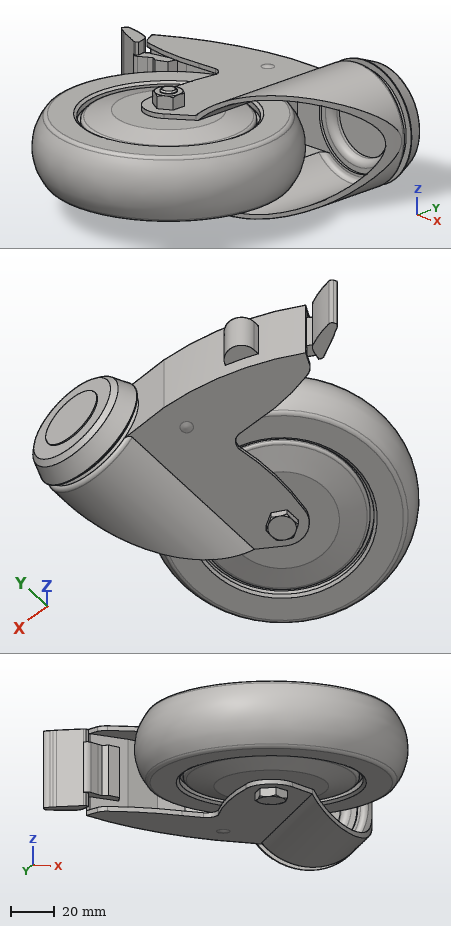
import cadquery as cq
import math


wheel_radius = 62.4
tread_edge_radius = 57.4
tread_edge_z = 14.5
tire_edge_mid = (56.6, 15.5)
tire_face_z = 16.0
tire_face_outer_radius = 55.3
tire_face_inner_radius = 43.4
tire_lip_radius = 41.9
tire_lip_z = 14.8
groove_inner_radius = 80.5 / 2
hub_rim_radius = 77.5 / 2
groove_floor_z = 12.1
hub_rim_z = 14.7
hub_edge_fillet = groove_inner_radius - hub_rim_radius
hub_face_radius = 26.1
hub_face_z = 17.7

swivel_x = 41.0
swivel_radius = 30.0
plate_outer_z = 20.3
sheet_thickness = 2.3
plate_inner_z = plate_outer_z - sheet_thickness
fork_top_y = 82.4
tube_rim_fillet = 2.1
inner_rim_fillet = 2.9
fork_floor_y = -16.1
arm_reach = 80.6
tube_back_y = 79.3
axle_boss_radius = 12.4

neck_radius = 53.7 / 2
neck_flare_radius = 27.7
neck_flare_height = 1.3
skirt_bottom_y = 85.5
skirt_lip_y = 86.0
skirt_top_y = 94.6
skirt_top_radius = 26.5
head_face_radius = 47.5 / 2
head_face_y = 96.9
head_boss_radius = 31.6 / 2
head_boss_y = 97.5
cup_radius = 23.5
cup_depth = 1.3
bore_mouth_radius = 20.8
bore_radius = 17.1
bore_depth = 5.3

pedal_half_width = 18.2
lever_half_width = 12.0
cam_x = -42.4
cam_y = 73.5
cam_radius = 7.9
cam_base_y = 68.5
pin_x = -3.0
pin_y = 67.5
pin_radius = 3.0
pin_point_height = 0.6
pin_cover = 6.5

axle_radius = 4.0
axle_end_z = 28.0
axle_chamfer = 0.8
hex_across_flats = 13.0
nut_height = 6.6
bolt_head_height = 4.2
hex_corner_drop = 0.6

arm_tip_top = (-70.1, 60.5)
arm_crown = (-39.7, 74.8)
arm_top_end = (-2.5, fork_top_y)


def extrude_both(sketch, half_width):
    """Extrude an XY outline equally to both sides of the wheel plane."""
    return sketch.extrude(half_width, both=True)


def boss_point(angle_degrees):
    """Point on the rounded fork end around the axle."""
    angle = math.radians(angle_degrees)
    return (axle_boss_radius * math.cos(angle), axle_boss_radius * math.sin(angle))


def swivel_cylinder(radius, bottom_y, height):
    """Cylinder standing on the swivel axis."""
    plane = cq.Workplane("XZ", origin=(swivel_x, bottom_y, 0))
    return plane.circle(radius).extrude(-height)


def make_wheel():
    """Rounded tire, groove and conical hub turned about the axle, alike on both faces."""
    tread = (
        cq.Workplane("XZ")
        .moveTo(tire_lip_radius, -tread_edge_z)
        .lineTo(tread_edge_radius, -tread_edge_z)
        .threePointArc((wheel_radius, 0), (tread_edge_radius, tread_edge_z))
        .lineTo(tire_lip_radius, tread_edge_z)
        .close()
        .revolve(360, (0, 0, 0), (0, 1, 0))
    )
    fillet_mid = hub_edge_fillet * math.sin(math.pi / 4)
    upper_half = (
        cq.Workplane("XZ")
        .lineTo(tread_edge_radius, 0)
        .lineTo(tread_edge_radius, tread_edge_z)
        .threePointArc(tire_edge_mid, (tire_face_outer_radius, tire_face_z))
        .lineTo(tire_face_inner_radius, tire_face_z)
        .lineTo(tire_lip_radius, tire_lip_z)
        .lineTo(tire_lip_radius, groove_floor_z)
        .lineTo(groove_inner_radius, groove_floor_z)
        .lineTo(groove_inner_radius, hub_rim_z - hub_edge_fillet)
        .threePointArc(
            (hub_rim_radius + fillet_mid, hub_rim_z - hub_edge_fillet + fillet_mid),
            (hub_rim_radius, hub_rim_z),
        )
        .lineTo(hub_face_radius, hub_face_z)
        .lineTo(0, hub_face_z)
        .close()
        .revolve(360, (0, 0, 0), (0, 1, 0))
    )
    return tread.union(upper_half).union(upper_half.mirror("XY"))


def fork_block(inset, rim_fillet):
    """Plate-and-tube cross-section raised to the fork top, moved inwards by the inset."""
    height = fork_top_y - inset - fork_floor_y
    half_width = plate_outer_z - inset
    plates = (
        cq.Workplane("XZ", origin=(0, fork_floor_y, 0))
        .moveTo((swivel_x - arm_reach) / 2, 0)
        .rect(swivel_x + arm_reach, 2 * half_width)
        .extrude(-height)
    )
    tube = swivel_cylinder(swivel_radius - inset, fork_floor_y, height)
    return plates.union(tube.faces(">Y").edges().fillet(rim_fillet))


def make_fork():
    """Bent sheet fork: two side plates running into a half tube below the swivel head."""
    side_outline = (
        cq.Workplane("XY")
        .moveTo(*arm_tip_top)
        .threePointArc(arm_crown, arm_top_end)
        .lineTo(swivel_x + swivel_radius, fork_top_y)
        .lineTo(swivel_x + swivel_radius, tube_back_y)
        .threePointArc((53.7, 37.7), (19.2, -1.6))
        .lineTo(*boss_point(-55))
        .threePointArc(boss_point(-115), boss_point(186))
        .threePointArc((-14.5, 21.1), (-12.7, 42.2))
        .threePointArc((-14.0, 46.6), (-18.0, 48.7))
        .lineTo(-28.2, 48.4)
        .threePointArc((-46.0, 48.4), (-62.7, 51.1))
        .threePointArc((-65.0, 52.0), (-66.7, 53.8))
        .close()
    )
    side_block = extrude_both(side_outline, swivel_radius)
    shell = fork_block(0, tube_rim_fillet).cut(fork_block(sheet_thickness, inner_rim_fillet))
    return shell.intersect(side_block)


def make_arm_roof():
    """Web that closes the top of the arm between the side plates."""
    outline = (
        cq.Workplane("XY")
        .moveTo(*arm_tip_top)
        .threePointArc(arm_crown, arm_top_end)
        .lineTo(pin_x + pin_cover, fork_top_y)
        .lineTo(pin_x + pin_cover, pin_y - pin_cover)
        .lineTo(pin_x - pin_cover, pin_y - pin_cover)
        .lineTo(-20.8, 68.7)
        .lineTo(-34.2, 67.9)
        .lineTo(-49.8, 62.2)
        .lineTo(-69.0, 58.4)
        .close()
    )
    return extrude_both(outline, plate_inner_z)


def make_head():
    """Swivel head with its neck, turned about the swivel axis."""
    neck_base_y = fork_top_y - sheet_thickness
    profile = [
        (0, neck_base_y),
        (neck_radius, neck_base_y),
        (neck_flare_radius, fork_top_y),
        (neck_radius, fork_top_y + neck_flare_height),
        (neck_radius, skirt_bottom_y),
        (swivel_radius, skirt_bottom_y),
        (swivel_radius, skirt_lip_y),
        (skirt_top_radius, skirt_top_y),
        (head_face_radius, head_face_y),
        (head_boss_radius, head_face_y),
        (head_boss_radius, head_boss_y),
        (0, head_boss_y),
    ]
    plane = cq.Workplane("XY", origin=(swivel_x, 0, 0))
    return plane.polyline(profile).close().revolve(360, (0, 0, 0), (0, 1, 0))


def make_head_recess():
    """Stepped round recess under the swivel head, its inner bore with a rounded mouth."""
    cup_mouth_y = fork_top_y - sheet_thickness
    cup_floor_y = cup_mouth_y + cup_depth
    mouth_fillet = bore_mouth_radius - bore_radius
    fillet_mid_offset = mouth_fillet * (1 - math.sin(math.pi / 4))
    return (
        cq.Workplane("XY", origin=(swivel_x, 0, 0))
        .moveTo(0, cup_mouth_y)
        .lineTo(cup_radius, cup_mouth_y)
        .lineTo(cup_radius, cup_floor_y)
        .lineTo(bore_mouth_radius, cup_floor_y)
        .threePointArc(
            (bore_radius + fillet_mid_offset, cup_floor_y + fillet_mid_offset),
            (bore_radius, cup_floor_y + mouth_fillet),
        )
        .lineTo(bore_radius, cup_floor_y + bore_depth)
        .lineTo(0, cup_floor_y + bore_depth)
        .close()
        .revolve(360, (0, 0, 0), (0, 1, 0))
    )


def make_pedal():
    """Foot pad at the end of the brake lever."""
    outline = (
        cq.Workplane("XY")
        .moveTo(-87.9, 63.8)
        .threePointArc((-80.8, 62.5), (-74.3, 60.3))
        .threePointArc((-73.0, 58.8), (-72.2, 57.0))
        .lineTo(-71.3, 52.9)
        .lineTo(-72.7, 52.0)
        .lineTo(-73.8, 52.2)
        .lineTo(-85.1, 57.5)
        .lineTo(-86.5, 58.5)
        .lineTo(-87.9, 59.2)
        .threePointArc((-89.6, 60.3), (-90.3, 61.3))
        .lineTo(-89.5, 62.9)
        .threePointArc((-88.8, 63.5), (-87.9, 63.8))
        .close()
    )
    return extrude_both(outline, pedal_half_width)


def make_lever():
    """Stepped neck that joins the pedal to the arm, and the round cam above the arm."""
    neck = (
        cq.Workplane("XY")
        .moveTo(-72.2, 57.0)
        .lineTo(-67.7, 60.6)
        .lineTo(-54.0, 64.5)
        .lineTo(-55.6, 56.0)
        .lineTo(-61.6, 53.7)
        .lineTo(-64.2, 55.1)
        .lineTo(-66.6, 53.8)
        .lineTo(-70.6, 51.5)
        .threePointArc((-72.5, 51.3), (-73.8, 52.2))
        .close()
    )
    cam = (
        cq.Workplane("XY")
        .moveTo(cam_x + cam_radius, cam_y)
        .threePointArc((cam_x, cam_y + cam_radius), (cam_x - cam_radius, cam_y))
        .lineTo(cam_x - cam_radius, cam_base_y)
        .lineTo(cam_x + cam_radius, cam_base_y)
        .close()
    )
    return extrude_both(neck, lever_half_width).union(extrude_both(cam, lever_half_width))


def make_pin():
    """Brake pin through both plates with shallow conical ends."""
    profile = [
        (0, -plate_outer_z - pin_point_height),
        (pin_radius, -plate_outer_z),
        (pin_radius, plate_outer_z),
        (0, plate_outer_z + pin_point_height),
    ]
    plane = cq.Workplane("XZ", origin=(pin_x, pin_y, 0))
    return plane.polyline(profile).close().revolve(360, (0, 0, 0), (0, 1, 0))


def hex_block(height):
    """Hexagon on the plate face, two corners along Y, its top corners turned off by a cone."""
    flat_radius = hex_across_flats / 2
    corner_radius = flat_radius / math.cos(math.pi / 6)
    prism = (
        cq.Workplane("XY", origin=(0, 0, plate_outer_z))
        .polygon(6, 2 * corner_radius)
        .extrude(height)
        .rotate((0, 0, 0), (0, 0, 1), 30)
    )
    top_z = plate_outer_z + height
    envelope = (
        cq.Workplane("XZ")
        .moveTo(0, plate_outer_z)
        .lineTo(corner_radius, plate_outer_z)
        .lineTo(corner_radius, top_z - hex_corner_drop)
        .lineTo(flat_radius, top_z)
        .lineTo(0, top_z)
        .close()
        .revolve(360, (0, 0, 0), (0, 1, 0))
    )
    return prism.intersect(envelope)


def make_axle():
    """Axle bolt with its head on the -Z side and its nut on the +Z side."""
    shank = (
        cq.Workplane("XY", origin=(0, 0, -plate_outer_z))
        .circle(axle_radius)
        .extrude(plate_outer_z + axle_end_z)
        .faces(">Z")
        .chamfer(axle_chamfer)
    )
    bolt_head = hex_block(bolt_head_height).mirror("XY")
    return shank.union(hex_block(nut_height)).union(bolt_head)


result = (
    make_fork()
    .union(make_head())
    .cut(make_head_recess())
    .union(make_arm_roof())
    .union(make_lever())
    .union(make_pedal())
    .union(make_pin())
    .union(make_wheel())
    .union(make_axle())
)